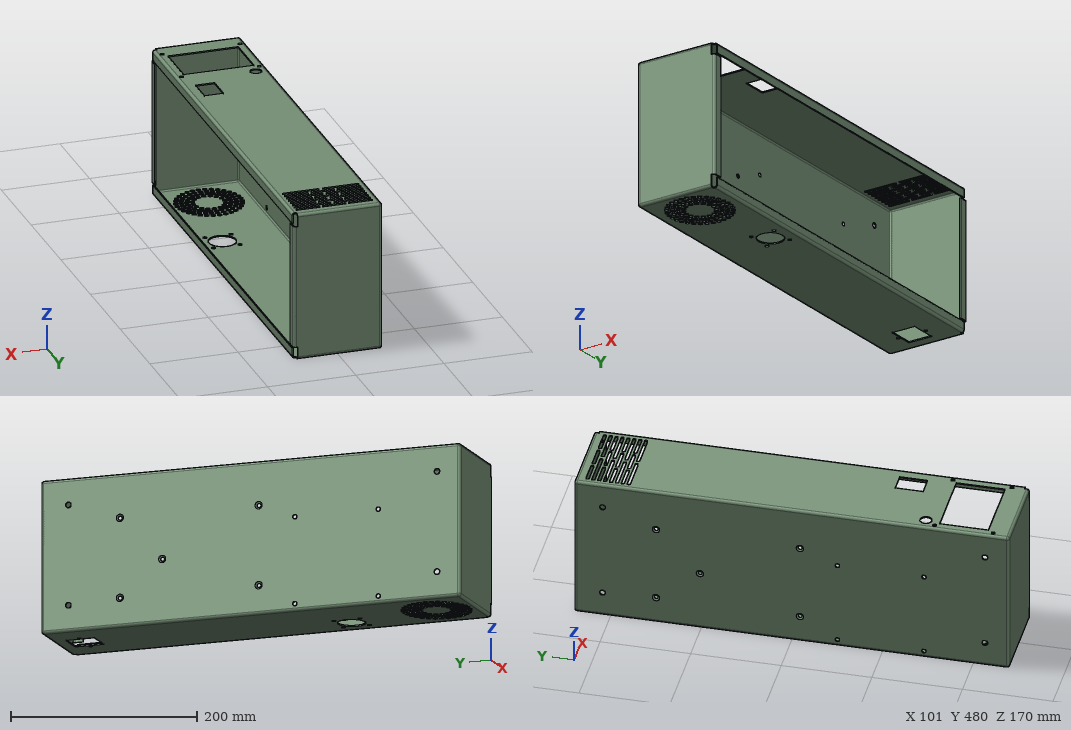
import cadquery as cq

WIDTH = 101.0
LENGTH = 480.0
HEIGHT = 170.0
SHEET = 1.5
BEND_RADIUS = 3.1

FLANGE = 12.0
RELIEF_DEPTH = 5.0
RELIEF_LENGTH = 5.5
RELIEF_HEIGHT = 14.5

SLOT_WIDTH = 3.4
SLOT_ROWS = 8
SLOT_ROWS_SPAN = 45.5
SLOT_ROW_PITCH = SLOT_ROWS_SPAN / (SLOT_ROWS - 1)
FIRST_SLOT_ROW_Y = 227.5
SLOT_FIELD_WIDTH = 86.5
GAP_IN_ROW_OF_THREE = 3.0
GAP_IN_ROW_OF_TWO = 4.0

FAN_WINDOW = (79.5, 54.0)
FAN_WINDOW_CENTRE = (0, -187.5)
FAN_SCREW_CENTRE = (0, -188.5)
FAN_SCREW_SPACING = (88.5, 65.0)
FAN_SCREW_DIAMETER = 4.2
CABLE_HOLE_DIAMETER = 13.0
CABLE_HOLE_CENTRE = (-36.5, -145.0)
SWITCH_WINDOW = (21.5, 30.5)
SWITCH_WINDOW_CENTRE = (26.5, -114.0)

GRILLE_CENTRE = (0, -194.5)
GRILLE_HOLE_DIAMETER = 5.0
GRILLE_RING_COUNTS = (16, 24, 28, 32)
GRILLE_OUTER_RADIUS = 36.0
GRILLE_INNER_RADIUS = GRILLE_OUTER_RADIUS / 2
GRILLE_RING_PITCH = (GRILLE_OUTER_RADIUS - GRILLE_INNER_RADIUS) / (len(GRILLE_RING_COUNTS) - 1)
INLET_WINDOW = (30.0, 32.5)
INLET_CENTRE = (0, 208.5)
INLET_SCREW_SPACING = 36.0
INLET_SCREW_DIAMETER = 3.8
SOCKET_DIAMETER = 30.5
SOCKET_CENTRE = (20.0, -90.0)
SOCKET_SCREW_SPACING = 30.0
SOCKET_SCREW_DIAMETER = 4.2

MOUNT_DIAMETER = 6.0
MOUNT_YS = (209.0, -213.0)
MOUNT_ZS = (55.5, -55.5)
BRACKET_DIAMETER = 5.0
BRACKET_YS = (-50.5, -146.0)
BRACKET_ZS = (19.5, -77.0)
COUNTERSINK_OUTER_DIAMETER = 8.0
COUNTERSINK_INNER_DIAMETER = 4.2
COUNTERSINK_YS = (150.0, -9.0)
COUNTERSINK_ZS = (36.0, -53.0)
SINGLE_COUNTERSINK = (101.5, -14.0)

CUT_DEPTH = 2 * SHEET

top_wall = cq.Workplane("XY", origin=(0, 0, HEIGHT / 2 - CUT_DEPTH))
bottom_wall = cq.Workplane("XY", origin=(0, 0, -HEIGHT / 2))
side_wall = cq.Workplane("YZ", origin=(-WIDTH / 2, 0, 0))


def grid(first_values, second_values):
    """All pairs of the two lists of coordinates."""
    return [(first, second) for first in first_values for second in second_values]


def rectangle_corners(centre, width, depth):
    """Corner points of a rectangle around centre."""
    xs = (centre[0] - width / 2, centre[0] + width / 2)
    ys = (centre[1] - depth / 2, centre[1] + depth / 2)
    return grid(xs, ys)


def round_holes(wall, points, diameter):
    return wall.pushPoints(points).circle(diameter / 2).extrude(CUT_DEPTH)


def window(wall, centre, size):
    return wall.center(*centre).rect(*size).extrude(CUT_DEPTH)


def rounded_box(inset, radius):
    """Case envelope moved inwards by inset, with every edge rounded."""
    box = cq.Workplane("XY").box(WIDTH - 2 * inset, LENGTH - 2 * inset, HEIGHT - 2 * inset)
    return box.edges().fillet(radius)


def open_side_cutter():
    """Opening in the +X side, with the gaps between neighbouring flanges."""
    face = cq.Workplane("YZ", origin=(WIDTH / 2 - RELIEF_DEPTH, 0, 0))
    opening = face.rect(LENGTH - 2 * FLANGE, HEIGHT - 2 * FLANGE).extrude(RELIEF_DEPTH)

    slit_height = RELIEF_HEIGHT - FLANGE
    slit_z = HEIGHT / 2 - RELIEF_HEIGHT + slit_height / 2
    slits = face.pushPoints([(0, slit_z), (0, -slit_z)]).rect(LENGTH, slit_height).extrude(RELIEF_DEPTH)

    notch_centres = rectangle_corners((0, 0), LENGTH - RELIEF_LENGTH, HEIGHT - RELIEF_HEIGHT)
    notches = face.pushPoints(notch_centres).rect(RELIEF_LENGTH, RELIEF_HEIGHT).extrude(RELIEF_DEPTH)
    return opening.union(slits).union(notches)


def make_case():
    """Hollow case with an open +X side edged by return flanges."""
    shell = rounded_box(0, BEND_RADIUS).cut(rounded_box(SHEET, BEND_RADIUS - SHEET))
    return shell.cut(open_side_cutter())


def cut_vents(case):
    for row in range(SLOT_ROWS):
        y = FIRST_SLOT_ROW_Y - row * SLOT_ROW_PITCH
        count, gap = (3, GAP_IN_ROW_OF_THREE) if row % 2 == 0 else (2, GAP_IN_ROW_OF_TWO)
        length = (SLOT_FIELD_WIDTH - (count - 1) * gap) / count
        centres = [((i - (count - 1) / 2) * (length + gap), y) for i in range(count)]
        case = case.cut(top_wall.pushPoints(centres).slot2D(length, SLOT_WIDTH).extrude(CUT_DEPTH))
    return case


def cut_top_openings(case):
    fan_screws = rectangle_corners(FAN_SCREW_CENTRE, *FAN_SCREW_SPACING)
    case = case.cut(window(top_wall, FAN_WINDOW_CENTRE, FAN_WINDOW))
    case = case.cut(round_holes(top_wall, fan_screws, FAN_SCREW_DIAMETER))
    case = case.cut(round_holes(top_wall, [CABLE_HOLE_CENTRE], CABLE_HOLE_DIAMETER))
    return case.cut(window(top_wall, SWITCH_WINDOW_CENTRE, SWITCH_WINDOW))


def cut_grille(case):
    """Rings of round air holes around a plain hub."""
    for ring, count in enumerate(GRILLE_RING_COUNTS):
        radius = GRILLE_INNER_RADIUS + ring * GRILLE_RING_PITCH
        ring_points = bottom_wall.center(*GRILLE_CENTRE).polarArray(radius, 90, 360, count)
        case = case.cut(ring_points.circle(GRILLE_HOLE_DIAMETER / 2).extrude(CUT_DEPTH))
    return case


def cut_bottom_openings(case):
    inlet_x, inlet_y = INLET_CENTRE
    inlet_screws = [(inlet_x + side * INLET_SCREW_SPACING / 2, inlet_y) for side in (-1, 1)]
    case = case.cut(window(bottom_wall, INLET_CENTRE, INLET_WINDOW))
    case = case.cut(round_holes(bottom_wall, inlet_screws, INLET_SCREW_DIAMETER))

    socket_screws = rectangle_corners(SOCKET_CENTRE, SOCKET_SCREW_SPACING, SOCKET_SCREW_SPACING)
    case = case.cut(round_holes(bottom_wall, [SOCKET_CENTRE], SOCKET_DIAMETER))
    return case.cut(round_holes(bottom_wall, socket_screws, SOCKET_SCREW_DIAMETER))


def cut_side_holes(case):
    case = case.cut(round_holes(side_wall, grid(MOUNT_YS, MOUNT_ZS), MOUNT_DIAMETER))
    case = case.cut(round_holes(side_wall, grid(BRACKET_YS, BRACKET_ZS), BRACKET_DIAMETER))

    outer_radius = COUNTERSINK_OUTER_DIAMETER / 2
    inner_radius = COUNTERSINK_INNER_DIAMETER / 2
    for y, z in grid(COUNTERSINK_YS, COUNTERSINK_ZS) + [SINGLE_COUNTERSINK]:
        start = cq.Vector(-WIDTH / 2, y, z)
        cone = cq.Solid.makeCone(outer_radius, inner_radius, SHEET, start, cq.Vector(1, 0, 0))
        case = case.cut(cq.Workplane(cone))
    return case


case = make_case()
case = cut_vents(case)
case = cut_top_openings(case)
case = cut_grille(case)
case = cut_bottom_openings(case)
result = cut_side_holes(case)